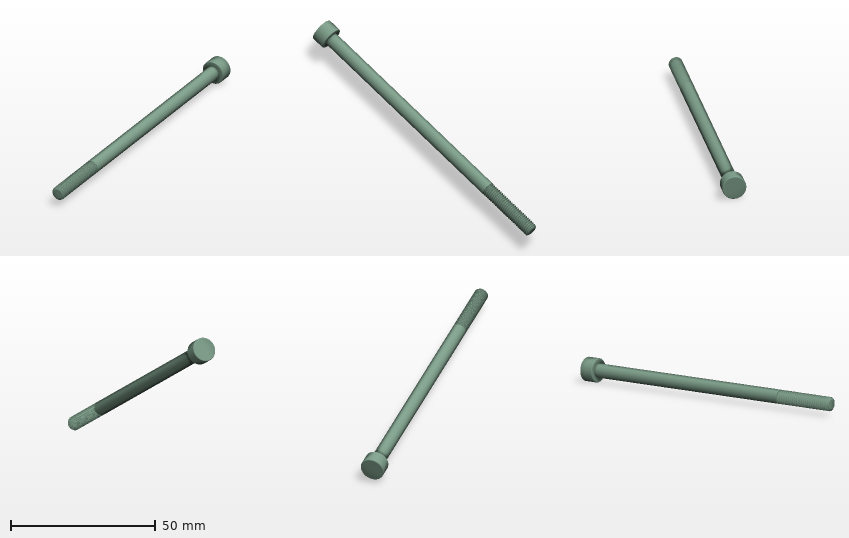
import cadquery as cq
import math

THREAD_DIAMETER = 5.0
SCREW_LENGTH = 100.0
THREAD_LENGTH = 22.0
PITCH = 0.8
HEAD_DIAMETER = 8.5
HEAD_HEIGHT = 5.0
HEAD_RIM_RADIUS = 0.3
TIP_DIAMETER = 3.4
TIP_TAPER_LENGTH = 0.5
THREAD_START_ANGLE = 75.0

FLANK_HALF_ANGLE = math.radians(30)
SHARP_V_HEIGHT = PITCH / 2 / math.tan(FLANK_HALF_ANGLE)
GROOVE_DEPTH = SHARP_V_HEIGHT * 17 / 24
CREST_RADIUS = THREAD_DIAMETER / 2
ROOT_RADIUS = CREST_RADIUS - GROOVE_DEPTH
CREST_HALF_OPENING = PITCH * 7 / 16

CUTTER_OVERLAP = 0.03
CUTTER_RUNOUT = PITCH
ROD_RUNOUT = 4 * PITCH

ORIGIN = (0, 0, 0)
X_AXIS = (1, 0, 0)
Z_AXIS = (0, 0, 1)


def make_cylinder(radius, bottom, top):
    """Cylinder about the Z axis between two heights."""
    return cq.Workplane("XY").workplane(offset=bottom).circle(radius).extrude(top - bottom)


def groove_half_width(radius):
    """Half the axial width of the thread groove at a given radius."""
    return CREST_HALF_OPENING + (radius - CREST_RADIUS) * math.tan(FLANK_HALF_ANGLE)


def make_head():
    """Cylindrical head on top of the shank, with both rims rounded."""
    head = make_cylinder(HEAD_DIAMETER / 2, SCREW_LENGTH, SCREW_LENGTH + HEAD_HEIGHT)
    return head.faces("<Z or >Z").edges().fillet(HEAD_RIM_RADIUS)


def make_plain_shank():
    """Unthreaded part of the shank, between the thread and the head."""
    return make_cylinder(CREST_RADIUS, THREAD_LENGTH, SCREW_LENGTH)


def make_thread_cutter():
    """Right-handed helical cutter that runs past both ends of the thread."""
    start = -CUTTER_RUNOUT
    height = THREAD_LENGTH + 2 * CUTTER_RUNOUT
    outer = CREST_RADIUS + CUTTER_OVERLAP
    root_half = groove_half_width(ROOT_RADIUS)
    outer_half = groove_half_width(outer)
    section = cq.Workplane("XZ").polyline(
        [
            (ROOT_RADIUS, start - root_half),
            (outer, start - outer_half),
            (outer, start + outer_half),
            (ROOT_RADIUS, start + root_half),
        ]
    ).close()
    helix = cq.Wire.makeHelix(PITCH, height, ROOT_RADIUS, center=cq.Vector(0, 0, start))
    return section.sweep(cq.Workplane(helix), isFrenet=True)


def make_threaded_end():
    """Threaded part of the shank with a tapered tip at Z = 0."""
    rod = make_cylinder(CREST_RADIUS, -ROD_RUNOUT, THREAD_LENGTH + ROD_RUNOUT)
    threaded_rod = rod.cut(make_thread_cutter()).rotate(ORIGIN, Z_AXIS, THREAD_START_ANGLE)
    envelope = make_cylinder(CREST_RADIUS, 0, THREAD_LENGTH)
    envelope = envelope.faces("<Z").chamfer(TIP_TAPER_LENGTH, CREST_RADIUS - TIP_DIAMETER / 2)
    return threaded_rod.intersect(envelope)


upright = make_threaded_end().union(make_plain_shank()).union(make_head())
screw = upright.rotate(ORIGIN, X_AXIS, -90).translate((0, -SCREW_LENGTH, 0))
result = cq.Workplane(screw.solids().val())